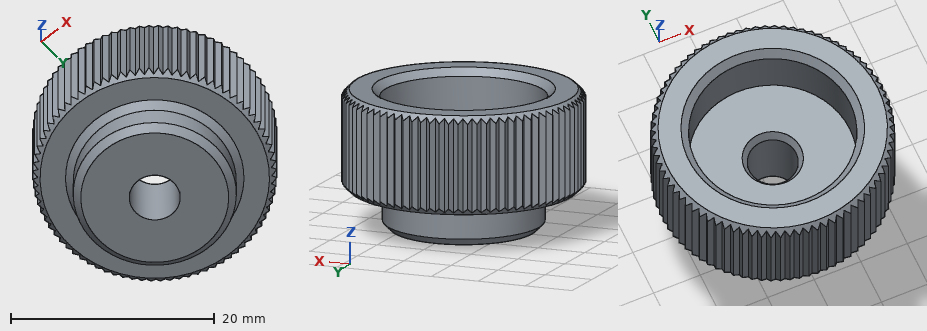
import cadquery as cq
import math

total_height = 14.0
head_height = 10.0
head_bottom = total_height - head_height

head_radius = 12.0
hub_radius = 8.0
edge_chamfer = 0.75

recess_radius = 8.25
recess_depth = 6.0
recess_floor = total_height - recess_depth

hole_radius = 2.5
countersink_radius = 3.0
countersink_depth = 0.75

groove_count = 80
groove_depth = 0.5
groove_angle = 90.0
groove_pitch_angle = 360.0 / groove_count
groove_root_radius = head_radius - groove_depth


def turned_body():
    """Revolved half section of the knob: hub, head, recess and stepped hole."""
    half_section = [
        (hole_radius, 0),
        (hub_radius - edge_chamfer, 0),
        (hub_radius, edge_chamfer),
        (hub_radius, head_bottom - edge_chamfer),
        (hub_radius + edge_chamfer, head_bottom),
        (head_radius - edge_chamfer, head_bottom),
        (head_radius, head_bottom + edge_chamfer),
        (head_radius, total_height - edge_chamfer),
        (head_radius - edge_chamfer, total_height),
        (recess_radius + edge_chamfer, total_height),
        (recess_radius, total_height - edge_chamfer),
        (recess_radius, recess_floor),
        (countersink_radius, recess_floor),
        (hole_radius, recess_floor - countersink_depth),
    ]
    section = cq.Workplane("XZ").polyline(half_section).close()
    return section.revolve(360, (0, 0, 0), (0, 1, 0))


def knurl_prism():
    """Toothed prism as tall as the head; its flanks are the groove walls."""
    half_pitch = math.radians(groove_pitch_angle / 2)
    half_groove = math.radians(groove_angle / 2)
    crest_radius = groove_root_radius * math.sin(half_groove) / math.sin(half_groove - half_pitch)
    outline = []
    for i in range(groove_count):
        root_angle = math.radians(i * groove_pitch_angle)
        crest_angle = root_angle + half_pitch
        outline.append((groove_root_radius * math.cos(root_angle), groove_root_radius * math.sin(root_angle)))
        outline.append((crest_radius * math.cos(crest_angle), crest_radius * math.sin(crest_angle)))
    prism = cq.Workplane("XY").workplane(offset=head_bottom).polyline(outline).close()
    return prism.extrude(head_height)


def hub_envelope():
    """Plain cylinder that keeps everything below the head."""
    return cq.Workplane("XY").circle(groove_root_radius).extrude(head_bottom)


result = turned_body().intersect(knurl_prism().union(hub_envelope()))